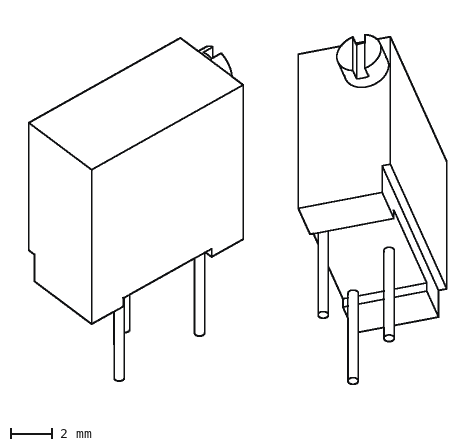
import cadquery as cq

body_width = 4.6
body_length = 9.6
body_height = 9.7

step_depth = 0.41
step_height = 1.68

pin_diameter = 0.5
pin_length = 5.0
pin_pitch = 2.55
outer_pin_x = 4.01
middle_pin_x = outer_pin_x - pin_pitch
middle_pin_y = body_length / 2

channel_height = 0.51
channel_length = 2 * pin_pitch + pin_diameter

screw_diameter = 2.2
screw_length = 1.3
screw_x = 1.19
screw_z = body_height - 1.78
slot_width = 0.6
slot_depth = 0.62


def make_housing():
    """Block with a step on the -X side and a channel through the underside."""
    profile = [
        (step_depth, 0),
        (body_width, 0),
        (body_width, body_height),
        (0, body_height),
        (0, step_height),
        (step_depth, step_height),
    ]
    block = cq.Workplane("XZ").polyline(profile).close().extrude(-body_length)
    channel = cq.Workplane("XY").box(
        body_width, channel_length, channel_height, centered=(False, True, False)
    )
    return block.cut(channel.translate((0, middle_pin_y, 0)))


def make_pin(x, y):
    """Round pin hanging from the roof of the channel."""
    return (
        cq.Workplane("XY", origin=(x, y, channel_height))
        .circle(pin_diameter / 2)
        .extrude(-(channel_height + pin_length))
    )


def make_screw():
    """Screw head with an upright screwdriver slot across its end."""
    head = (
        cq.Workplane("XZ", origin=(screw_x, body_length, screw_z))
        .circle(screw_diameter / 2)
        .extrude(-screw_length)
    )
    slot_center_y = body_length + screw_length - slot_depth / 2
    slot = cq.Workplane("XY").box(slot_width, slot_depth, screw_diameter)
    return head.cut(slot.translate((screw_x, slot_center_y, screw_z)))


pin_positions = [
    (outer_pin_x, middle_pin_y - pin_pitch),
    (middle_pin_x, middle_pin_y),
    (outer_pin_x, middle_pin_y + pin_pitch),
]

result = make_housing().union(make_screw())
for pin_x, pin_y in pin_positions:
    result = result.union(make_pin(pin_x, pin_y))